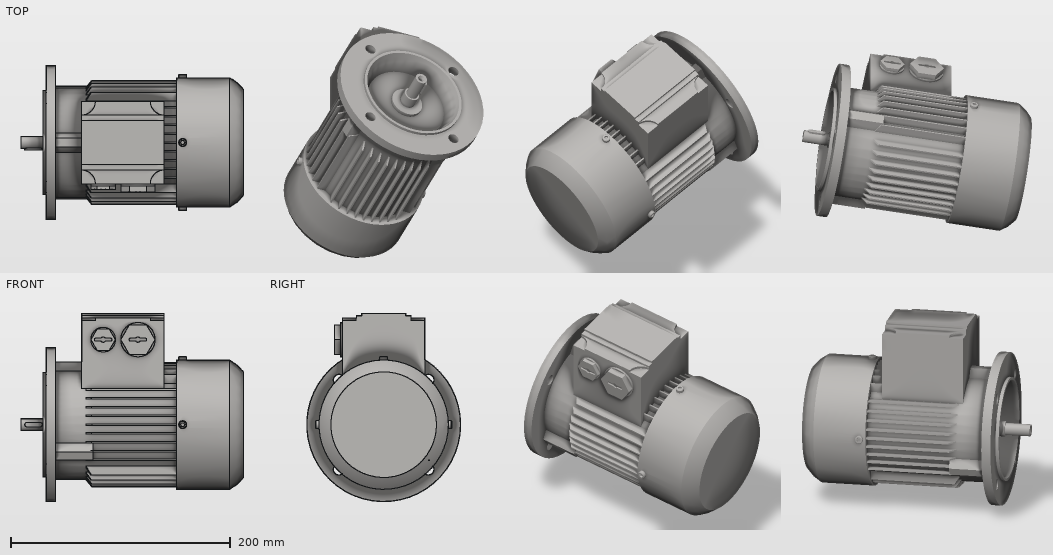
import cadquery as cq
import math


FLANGE_RADIUS = 70.0
FLANGE_THICKNESS = 8.5
SPIGOT_RADIUS = 47.5
SPIGOT_HEIGHT = 3.0
BOLT_CIRCLE_RADIUS = 57.5
BOLT_HOLE_DIAMETER = 10.0
BOLT_COUNT = 4
RECESS_MOUTH_RADIUS = 45.0
RECESS_FLOOR_RADIUS = 37.2
RECESS_FLOOR_X = 15.0
BEARING_CAP_RADIUS = 14.6
BEARING_CAP_FRONT_X = 11.5

SHAFT_RADIUS = 5.5
SHAFT_LENGTH = 23.0
SHAFT_SHOULDER_RADIUS = 7.0
CENTRE_HOLE_DIAMETER = 4.0
CENTRE_HOLE_COUNTERSINK_DIAMETER = 6.5
CENTRE_HOLE_COUNTERSINK_ANGLE = 60
CENTRE_HOLE_DEPTH = 10.0
KEY_WIDTH = 4.0
KEY_LENGTH = 16.0
KEY_END_X = -3.5
KEY_TOP_RADIUS = 7.0

HOUSING_RADIUS = 49.8
BOSS_TOP_RADIUS = 57.0
BOSS_TOP_WIDTH = 8.0
BOSS_BASE_WIDTH = 18.0
BOSS_BASE_RADIUS = 48.8
BOSS_END_X = 42.5
BOSS_COUNT = 3

FIN_START_X = 36.0
FIN_FULL_HEIGHT_X = 41.5
FIN_TIP_RADIUS = 56.5
FIN_PITCH = 8.0
FIN_THICKNESS = 1.4
FINS_EACH_SIDE_OF_CENTRE = 4

COVER_START_X = 118.5
COVER_TAPER_X = 166.7
COVER_END_X = 179.5
COVER_RADIUS = 58.8
COVER_END_RADIUS = 48.0
COVER_TAPER_BULGE = 1.0
SCREW_X = 124.1
SCREW_RADIUS = 3.6
SCREW_TOP_RADIUS = 61.9
SCREW_EDGE_CHAMFER = 0.5
SCREW_ANGLES = (-90, 0, 90)
SCREW_SOCKET_WIDTH = 4.0
SCREW_SOCKET_DEPTH = 2.0

BOX_START_X = 32.2
BOX_SIZE = 75.0
BOX_BOTTOM_Z = 31.5
BOX_TOP_Z = 101.29
LID_SHELF_Z = 97.0
LID_STEP_Z = 99.1
LID_RIDGE_WIDTH = 40.2
LID_STEP_WIDTH = 49.8
LID_CORNER_RADIUS = 12.5
LID_CORNER_FLOOR_Z = 94.6

PLUG_Z = 77.3
PLUG_COLLAR_THICKNESS = 1.8
SMALL_PLUG_X = 51.8
SMALL_PLUG_COLLAR_RADIUS = 11.2
SMALL_PLUG_CORNER_DIAMETER = 22.3
SMALL_PLUG_HEIGHT = 5.2
LARGE_PLUG_X = 83.4
LARGE_PLUG_COLLAR_RADIUS = 15.6
LARGE_PLUG_CORNER_DIAMETER = 31.2
LARGE_PLUG_HEIGHT = 7.3
PLUG_SLOT_LENGTH = 16.0
PLUG_SLOT_WIDTH = 2.8
PLUG_SLOT_CENTRE_DIAMETER = 4.8
PLUG_SLOT_DEPTH = 1.5

BOX_HALF = BOX_SIZE / 2
BOX_CENTRE_X = BOX_START_X + BOX_HALF


def cylinder_x(radius, start, end):
    """Cylinder on the shaft axis between two X positions."""
    return cq.Workplane("YZ", origin=(start, 0, 0)).circle(radius).extrude(end - start)


def block(x_range, y_range, z_range):
    """Axis-aligned block given by its limits."""
    sizes = [high - low for low, high in (x_range, y_range, z_range)]
    corner = (x_range[0], y_range[0], z_range[0])
    return cq.Workplane("XY", origin=corner).box(*sizes, centered=False)


def make_flange():
    """Round flange with its locating spigot and bolt holes."""
    flange = cylinder_x(FLANGE_RADIUS, 0, FLANGE_THICKNESS)
    flange = flange.union(cylinder_x(SPIGOT_RADIUS, -SPIGOT_HEIGHT, FLANGE_THICKNESS))
    holes = (
        cq.Workplane("YZ")
        .polarArray(BOLT_CIRCLE_RADIUS, 180 / BOLT_COUNT, 360, BOLT_COUNT)
        .circle(BOLT_HOLE_DIAMETER / 2)
        .extrude(FLANGE_THICKNESS)
    )
    return flange.cut(holes)


def make_recess():
    """Conical recess in the front of the flange, around the shaft."""
    outline = [
        (-SPIGOT_HEIGHT, 0),
        (-SPIGOT_HEIGHT, RECESS_MOUTH_RADIUS),
        (RECESS_FLOOR_X, RECESS_FLOOR_RADIUS),
        (RECESS_FLOOR_X, 0),
    ]
    return cq.Workplane("XY").polyline(outline).close().revolve(360, (0, 0), (1, 0))


def make_shaft():
    """Stepped shaft with bearing cap, key and countersunk centre hole."""
    shaft = cylinder_x(SHAFT_RADIUS, -SHAFT_LENGTH, RECESS_FLOOR_X)
    shaft = shaft.union(cylinder_x(SHAFT_SHOULDER_RADIUS, 0, RECESS_FLOOR_X))
    shaft = shaft.union(cylinder_x(BEARING_CAP_RADIUS, BEARING_CAP_FRONT_X, RECESS_FLOOR_X))
    key = (
        cq.Workplane("XZ")
        .center(KEY_END_X - KEY_LENGTH / 2, 0)
        .slot2D(KEY_LENGTH, KEY_WIDTH)
        .extrude(KEY_TOP_RADIUS)
    )
    return (
        shaft.union(key)
        .faces("<X")
        .workplane(origin=(-SHAFT_LENGTH, 0, 0))
        .cskHole(
            CENTRE_HOLE_DIAMETER,
            CENTRE_HOLE_COUNTERSINK_DIAMETER,
            CENTRE_HOLE_COUNTERSINK_ANGLE,
            CENTRE_HOLE_DEPTH,
        )
    )


def make_bosses():
    """Tapered bolting bosses spaced evenly around the housing, the first on top."""
    outline = [
        (-BOSS_BASE_WIDTH / 2, 0),
        (-BOSS_BASE_WIDTH / 2, BOSS_BASE_RADIUS),
        (-BOSS_TOP_WIDTH / 2, BOSS_TOP_RADIUS),
        (BOSS_TOP_WIDTH / 2, BOSS_TOP_RADIUS),
        (BOSS_BASE_WIDTH / 2, BOSS_BASE_RADIUS),
        (BOSS_BASE_WIDTH / 2, 0),
    ]
    boss = cq.Workplane("YZ").polyline(outline).close().extrude(BOSS_END_X)
    bosses = boss
    for index in range(1, BOSS_COUNT):
        bosses = bosses.union(boss.rotate((0, 0, 0), (1, 0, 0), index * 360 / BOSS_COUNT))
    return bosses


def make_fins():
    """Parallel flat-tipped fins on all four sides, stepped in height to follow a circle."""
    envelope_outline = [
        (FIN_START_X, 0),
        (FIN_START_X, HOUSING_RADIUS),
        (FIN_FULL_HEIGHT_X, FIN_TIP_RADIUS),
        (COVER_START_X, FIN_TIP_RADIUS),
        (COVER_START_X, 0),
    ]
    envelope = cq.Workplane("XY").polyline(envelope_outline).close().revolve(360, (0, 0), (1, 0))
    x_range = (FIN_START_X, COVER_START_X)
    plates = cq.Workplane("XY")
    for index in range(-FINS_EACH_SIDE_OF_CENTRE, FINS_EACH_SIDE_OF_CENTRE + 1):
        centre = index * FIN_PITCH
        tip = math.sqrt(FIN_TIP_RADIUS**2 - (abs(centre) + FIN_THICKNESS) ** 2)
        height = (-tip, tip)
        thickness = (centre - FIN_THICKNESS / 2, centre + FIN_THICKNESS / 2)
        plates = plates.add(block(x_range, thickness, height))
        plates = plates.add(block(x_range, height, thickness))
    return plates.combine().intersect(envelope)


def make_cover_screw():
    """Round-headed socket screw standing on top of the fan cover."""
    return (
        cq.Workplane("XY", origin=(SCREW_X, 0, HOUSING_RADIUS))
        .circle(SCREW_RADIUS)
        .extrude(SCREW_TOP_RADIUS - HOUSING_RADIUS)
        .faces(">Z")
        .chamfer(SCREW_EDGE_CHAMFER)
        .faces(">Z")
        .workplane()
        .polygon(6, SCREW_SOCKET_WIDTH)
        .cutBlind(-SCREW_SOCKET_DEPTH)
    )


def make_fan_cover():
    """Cylindrical cover with a slightly bulged taper at the rear and three screws."""
    taper_length = COVER_END_X - COVER_TAPER_X
    taper_drop = COVER_RADIUS - COVER_END_RADIUS
    taper_slant = math.hypot(taper_length, taper_drop)
    taper_middle = (
        COVER_TAPER_X + taper_length / 2 + COVER_TAPER_BULGE * taper_drop / taper_slant,
        COVER_RADIUS - taper_drop / 2 + COVER_TAPER_BULGE * taper_length / taper_slant,
    )
    cover = (
        cq.Workplane("XY")
        .moveTo(COVER_START_X, 0)
        .lineTo(COVER_START_X, COVER_RADIUS)
        .lineTo(COVER_TAPER_X, COVER_RADIUS)
        .threePointArc(taper_middle, (COVER_END_X, COVER_END_RADIUS))
        .lineTo(COVER_END_X, 0)
        .close()
        .revolve(360, (0, 0), (1, 0))
    )
    screw = make_cover_screw()
    for angle in SCREW_ANGLES:
        cover = cover.union(screw.rotate((0, 0, 0), (1, 0, 0), angle))
    return cover


def make_plug(x, collar_radius, corner_diameter, height):
    """Hexagonal screw plug with a round collar and a coin slot."""
    plane = cq.Workplane("XZ", origin=(x, -BOX_HALF, PLUG_Z))
    collar = plane.circle(collar_radius).extrude(PLUG_COLLAR_THICKNESS)
    head = plane.polygon(6, corner_diameter).extrude(height)
    slot_plane = plane.workplane(offset=height - PLUG_SLOT_DEPTH)
    slot = slot_plane.slot2D(PLUG_SLOT_LENGTH, PLUG_SLOT_WIDTH).extrude(PLUG_SLOT_DEPTH)
    slot_centre = slot_plane.circle(PLUG_SLOT_CENTRE_DIAMETER / 2).extrude(PLUG_SLOT_DEPTH)
    return collar.union(head).cut(slot.union(slot_centre))


def make_terminal_box():
    """Square box whose lid steps up to a central ridge and is notched at its corners."""
    x_range = (BOX_START_X, BOX_START_X + BOX_SIZE)
    steps = [
        (BOX_SIZE, LID_SHELF_Z),
        (LID_STEP_WIDTH, LID_STEP_Z),
        (LID_RIDGE_WIDTH, BOX_TOP_Z),
    ]
    box = cq.Workplane("XY")
    for width, top in steps:
        box = box.union(block(x_range, (-width / 2, width / 2), (BOX_BOTTOM_Z, top)))
    notches = (
        cq.Workplane("XY", origin=(BOX_CENTRE_X, 0, LID_CORNER_FLOOR_Z))
        .rect(BOX_SIZE, BOX_SIZE, forConstruction=True)
        .vertices()
        .circle(LID_CORNER_RADIUS)
        .extrude(LID_SHELF_Z - LID_CORNER_FLOOR_Z)
    )
    box = box.cut(notches)
    box = box.union(
        make_plug(SMALL_PLUG_X, SMALL_PLUG_COLLAR_RADIUS, SMALL_PLUG_CORNER_DIAMETER, SMALL_PLUG_HEIGHT)
    )
    return box.union(
        make_plug(LARGE_PLUG_X, LARGE_PLUG_COLLAR_RADIUS, LARGE_PLUG_CORNER_DIAMETER, LARGE_PLUG_HEIGHT)
    )


body = make_flange().union(cylinder_x(HOUSING_RADIUS, 0, COVER_START_X))
body = body.union(make_bosses())
body = body.cut(make_recess())
body = body.union(make_fins())
body = body.union(make_fan_cover())
body = body.union(make_terminal_box())
result = body.union(make_shaft())